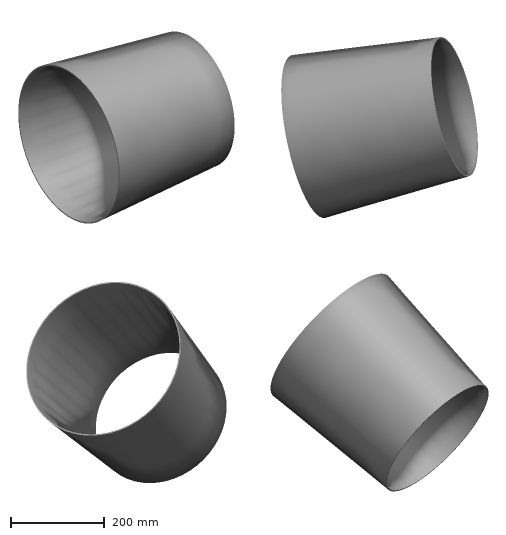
import cadquery as cq

wide_diameter = 355.5
narrow_diameter = 304.0
length = 330.0
wall = 3.0

wide_radius = wide_diameter / 2
narrow_radius = narrow_diameter / 2
wide_end = -length / 2
narrow_end = length / 2

wall_section = (
    cq.Workplane("XY")
    .moveTo(wide_radius - wall, wide_end)
    .lineTo(wide_radius, wide_end)
    .lineTo(narrow_radius, narrow_end)
    .lineTo(narrow_radius - wall, narrow_end)
    .close()
)

result = wall_section.revolve(360, (0, 0, 0), (0, 1, 0))